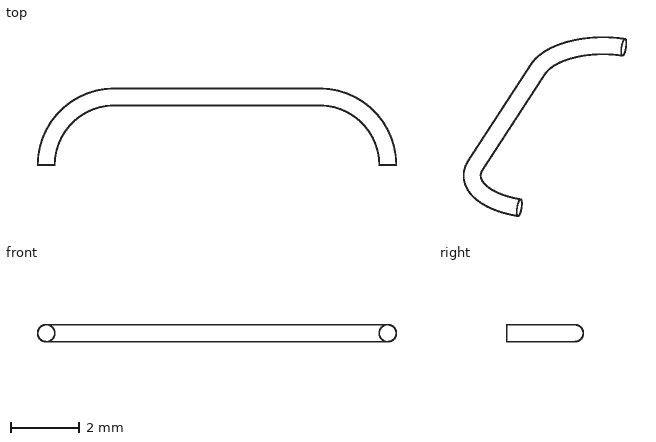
import cadquery as cq
import math

overall_length = 10.5
overall_depth = 2.25
wire_diameter = 0.5

wire_radius = wire_diameter / 2
bend_radius = overall_depth - wire_radius
end_x = overall_length / 2 - wire_radius
straight_half = end_x - bend_radius
mid_bend = bend_radius * math.sin(math.radians(45))

centreline = (
    cq.Workplane("XY")
    .moveTo(-end_x, 0)
    .threePointArc((-straight_half - mid_bend, mid_bend), (-straight_half, bend_radius))
    .lineTo(straight_half, bend_radius)
    .threePointArc((straight_half + mid_bend, mid_bend), (end_x, 0))
)

result = (
    cq.Workplane("XZ", origin=(-end_x, 0, 0))
    .circle(wire_radius)
    .sweep(centreline)
)